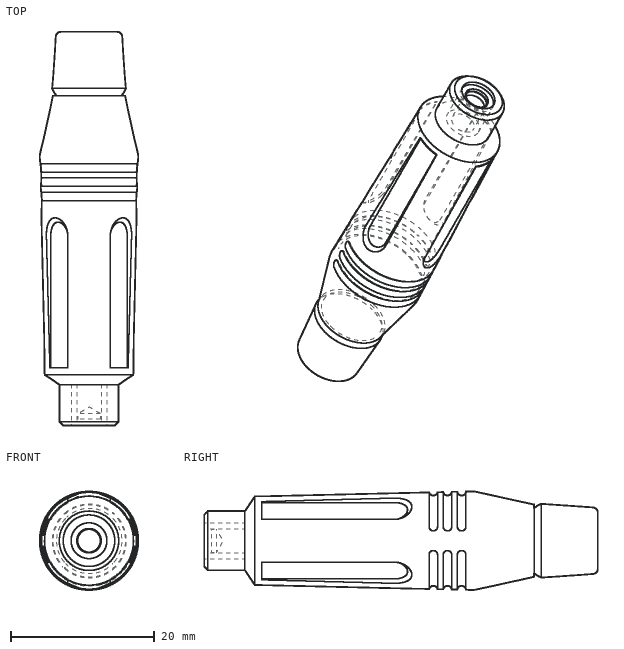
import cadquery as cq
import math

LENGTH = 55.0
Y_FRONT = -LENGTH / 2
Y_REAR = LENGTH / 2

HOUSING_RADIUS = 13.8 / 2
HOUSING_REAR_Y = 18.6
HOUSING_REAR_RADIUS = 5.05
SHOULDER_REAR_Y = 10.7
SHOULDER_REAR_RADIUS = 13.6 / 2
SHOULDER_MID_Y = 10.35
SHOULDER_MID_RADIUS = 6.9
SHOULDER_FRONT_Y = 9.9
COLLAR_REAR_Y = -19.4
COLLAR_FRONT_Y = -20.4
COLLAR_RADIUS = 6.2
HOUSING_FRONT_Y = -21.8

GROOVE_COUNT = 3
GROOVE_PITCH = 2.0
FIRST_GROOVE_Y = 8.45
GROOVE_RADIUS = 0.6
GROOVE_PATH_RADIUS = 6.95
GROOVE_END_HEIGHT = 2.0

PANEL_COUNT = 4
PANEL_FLOOR_RADIUS = 6.1
PANEL_WALL_OFFSET = 2.95
PANEL_ROUND_Y = -1.0
PANEL_ANGLE = 45
CUT_CLEARANCE = 0.55

BOOT_REAR_RADIUS = 4.6
BOOT_REAR_FILLET = 0.75
BOOT_FRONT_RADIUS = 5.15
BOOT_TAPER_END_Y = 19.6
BOOT_BEVEL_Y = 19.05
BOOT_BEVEL_RADIUS = 4.9
BOOT_NECK_RADIUS = 4.55

SHELL_RADIUS = 8.3 / 2
SHELL_CHAMFER = 0.55
SHELL_BORE_RADIUS = 5.0 / 2
INSULATOR_RECESS = 0.55
INSULATOR_BORE_RADIUS = 3.4 / 2
CONTACT_RECESS = 0.45
CONTACT_BORE_RADIUS = 3.2 / 2
CONTACT_BORE_DEPTH = 0.7
CONTACT_CONE_DEPTH = 0.95


def revolve_about_y(profile):
    """Turn a closed (radius, y) profile a full turn about the Y axis."""
    return profile.close().revolve(360, (0, 0, 0), (0, 1, 0))


def turned(points):
    return revolve_about_y(cq.Workplane("ZY").polyline(points))


def cylinder(radius, y_start, y_end):
    return turned([(0, y_start), (radius, y_start), (radius, y_end), (0, y_end)])


def make_groove(y, side):
    """Cutter for one grip groove; side is +1 for the top and -1 for the underside."""
    end_angle = math.degrees(math.asin(GROOVE_END_HEIGHT / GROOVE_PATH_RADIUS))
    end_x = math.sqrt(GROOVE_PATH_RADIUS**2 - GROOVE_END_HEIGHT**2)
    groove = (
        cq.Workplane("XY")
        .center(GROOVE_PATH_RADIUS, y)
        .circle(GROOVE_RADIUS)
        .revolve(180 - 2 * end_angle, (-GROOVE_PATH_RADIUS, 0, 0), (-GROOVE_PATH_RADIUS, -1, 0))
        .rotate((0, 0, 0), (0, 1, 0), -end_angle)
    )
    for x in (-end_x, end_x):
        end = cq.Workplane("XY").sphere(GROOVE_RADIUS, direct=(0, 1, 0))
        groove = groove.union(end.translate((x, y, GROOVE_END_HEIGHT)))
    if side < 0:
        groove = groove.mirror("XY")
    return groove


def make_panel():
    """Cutter for the grip panel midway between +X and +Z, outside the panel floor."""
    apex_height = PANEL_WALL_OFFSET * math.sqrt(2)
    top_height = HOUSING_RADIUS + CUT_CLEARANCE
    half_width = top_height - apex_height
    length = PANEL_ROUND_Y - COLLAR_REAR_Y
    wedge = (
        cq.Workplane("XZ", origin=(0, PANEL_ROUND_Y, 0))
        .polyline([(0, apex_height), (half_width, top_height), (-half_width, top_height)])
        .close()
        .extrude(length)
    )
    apex = cq.Vector(0, PANEL_ROUND_Y, apex_height)
    round_end = cq.Workplane(cq.Solid.makeCone(0, half_width, half_width, apex, cq.Vector(0, 0, 1)))
    floor = cylinder(PANEL_FLOOR_RADIUS, COLLAR_FRONT_Y, HOUSING_REAR_Y)
    return wedge.union(round_end).cut(floor).rotate((0, 0, 0), (0, 1, 0), PANEL_ANGLE)


def make_housing():
    housing = revolve_about_y(
        cq.Workplane("ZY")
        .moveTo(0, HOUSING_REAR_Y)
        .lineTo(HOUSING_REAR_RADIUS, HOUSING_REAR_Y)
        .lineTo(SHOULDER_REAR_RADIUS, SHOULDER_REAR_Y)
        .threePointArc((SHOULDER_MID_RADIUS, SHOULDER_MID_Y), (HOUSING_RADIUS, SHOULDER_FRONT_Y))
        .lineTo(COLLAR_RADIUS, COLLAR_REAR_Y)
        .lineTo(COLLAR_RADIUS, COLLAR_FRONT_Y)
        .lineTo(SHELL_RADIUS, HOUSING_FRONT_Y)
        .lineTo(0, HOUSING_FRONT_Y)
    )
    for index in range(GROOVE_COUNT):
        for side in (1, -1):
            housing = housing.cut(make_groove(FIRST_GROOVE_Y - index * GROOVE_PITCH, side))
    panel = make_panel()
    for index in range(PANEL_COUNT):
        housing = housing.cut(panel.rotate((0, 0, 0), (0, 1, 0), index * 360 / PANEL_COUNT))
    return housing


def make_boot():
    boot = turned(
        [
            (0, HOUSING_REAR_Y),
            (BOOT_NECK_RADIUS, HOUSING_REAR_Y),
            (BOOT_BEVEL_RADIUS, BOOT_BEVEL_Y),
            (BOOT_FRONT_RADIUS, BOOT_TAPER_END_Y),
            (BOOT_REAR_RADIUS, Y_REAR),
            (0, Y_REAR),
        ]
    )
    return boot.faces(">Y").edges().fillet(BOOT_REAR_FILLET)


def make_shell():
    shell = cylinder(SHELL_RADIUS, Y_FRONT, HOUSING_FRONT_Y).faces("<Y").chamfer(SHELL_CHAMFER)
    return shell.cut(cylinder(SHELL_BORE_RADIUS, Y_FRONT, HOUSING_FRONT_Y))


def make_insulator():
    front_y = Y_FRONT + INSULATOR_RECESS
    insulator = cylinder(SHELL_BORE_RADIUS, front_y, HOUSING_FRONT_Y)
    return insulator.cut(cylinder(INSULATOR_BORE_RADIUS, front_y, HOUSING_FRONT_Y))


def make_contact():
    """Socket contact with a blind bore that ends in a cone."""
    front_y = Y_FRONT + INSULATOR_RECESS + CONTACT_RECESS
    cone_y = front_y + CONTACT_BORE_DEPTH
    return turned(
        [
            (0, HOUSING_FRONT_Y),
            (INSULATOR_BORE_RADIUS, HOUSING_FRONT_Y),
            (INSULATOR_BORE_RADIUS, front_y),
            (CONTACT_BORE_RADIUS, front_y),
            (CONTACT_BORE_RADIUS, cone_y),
            (0, cone_y + CONTACT_CONE_DEPTH),
        ]
    )


housing = make_housing()
boot = make_boot()
shell = make_shell()
insulator = make_insulator()
contact = make_contact()

result = cq.Compound.makeCompound(
    [housing.val(), boot.val(), shell.val(), insulator.val(), contact.val()]
)